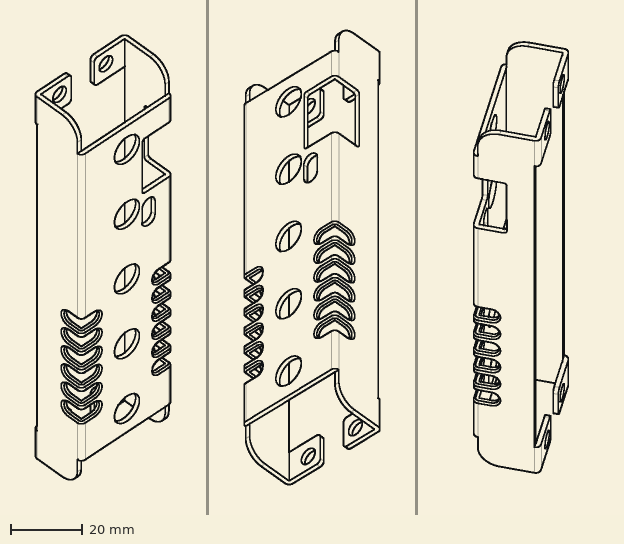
import cadquery as cq
import math

DEPTH = 19.4
WIDTH = 35.6
LENGTH = 139.7
SHEET = 1.5

TAB_HEIGHT = 10.8
TAB_GAP = 8.8
TAB_CORNER = 1.4
TAB_HOLE_DIA = 5.2
TAB_HOLE_SPACING = 18.0
TAB_HOLE_END_OFFSET = 4.9

WALL_CORNER = 6.3

BACK_HOLE_DIA = 9.6
BACK_HOLE_PITCH = 25.0
BACK_HOLE_COUNT = 5

WINDOW_Z_MIN = 98.6
WINDOW_HEIGHT = 21.0
WINDOW_WIDTH_IN_BACK = 11.9
WINDOW_WIDTH_IN_WALL = 9.9
WINDOW_CORNER = 1.0

KEY_SLOT_Y = 8.4
KEY_SLOT_Z = 90.4
KEY_SLOT_LENGTH = 10.2
KEY_SLOT_WIDTH = 5.0

VENT_COUNT = 6
VENT_PITCH = 7.0
VENT_CENTER_Z = 45.3
VENT_WIDTH = 4.5
VENT_REACH = 7.5
VENT_CHAMFER = 0.5

MID_Z = LENGTH / 2
WALL_EDGE_X = DEPTH - SHEET
TOLERANCE = 0.0001


def box(x_min, x_max, y_min, y_max, z_min, z_max):
    """Axis-aligned block between the given limits."""
    block = cq.Workplane("XY").box(x_max - x_min, y_max - y_min, z_max - z_min, centered=False)
    return block.translate((x_min, y_min, z_min))


def make_channel():
    """C-section channel: rounded outer bends, sharp inner bends, tabs still full length."""
    tube = box(0, DEPTH, -WIDTH / 2, WIDTH / 2, 0, LENGTH).edges("|Z").fillet(SHEET)
    inner_half_width = WIDTH / 2 - SHEET
    cavity = box(SHEET, WALL_EDGE_X, -inner_half_width, inner_half_width, 0, LENGTH)
    return tube.cut(cavity)


def trim_front(body):
    """Leave only the four tabs of the front side."""
    opening = box(0, SHEET, -WIDTH / 2, WIDTH / 2, TAB_HEIGHT, LENGTH - TAB_HEIGHT)
    gap = box(0, SHEET, -TAB_GAP / 2, TAB_GAP / 2, 0, LENGTH)
    body = body.cut(opening).cut(gap)
    tab_ends = cq.selectors.BoxSelector(
        (-SHEET, -TAB_GAP, -SHEET), (2 * SHEET, TAB_GAP, LENGTH + SHEET)
    )
    return body.edges("|X").edges(tab_ends).fillet(TAB_CORNER)


def trim_back(body):
    """Shorten the back at both ends and round the wall corners left standing there."""
    for z_min in (0, LENGTH - TAB_HEIGHT):
        body = body.cut(box(WALL_EDGE_X, DEPTH, -WIDTH / 2, WIDTH / 2, z_min, z_min + TAB_HEIGHT))
    wall_corners = cq.selectors.BoxSelector(
        (WALL_EDGE_X - SHEET, -WIDTH, -SHEET), (DEPTH, WIDTH, SHEET)
    ) + cq.selectors.BoxSelector(
        (WALL_EDGE_X - SHEET, -WIDTH, LENGTH - SHEET), (DEPTH, WIDTH, LENGTH + SHEET)
    )
    return body.edges("|Y").edges(wall_corners).fillet(WALL_CORNER)


def cut_holes(body):
    """Tab holes and the row of large holes in the back."""
    tab_tool = (
        cq.Workplane("YZ")
        .center(0, MID_Z)
        .rect(TAB_HOLE_SPACING, LENGTH - 2 * TAB_HOLE_END_OFFSET, forConstruction=True)
        .vertices()
        .circle(TAB_HOLE_DIA / 2)
        .extrude(SHEET)
    )
    back_tool = (
        cq.Workplane("YZ", origin=(WALL_EDGE_X, 0, MID_Z))
        .rarray(1.4, BACK_HOLE_PITCH, 1, BACK_HOLE_COUNT)
        .circle(BACK_HOLE_DIA / 2)
        .extrude(SHEET)
    )
    return body.cut(tab_tool).cut(back_tool)


def cut_key_slot(body):
    tool = (
        cq.Workplane("YZ", origin=(WALL_EDGE_X, KEY_SLOT_Y, KEY_SLOT_Z))
        .slot2D(KEY_SLOT_LENGTH, KEY_SLOT_WIDTH, 90)
        .extrude(SHEET)
    )
    return body.cut(tool)


def cut_window(body):
    """Rectangular opening folded around the +Y back corner."""
    z_max = WINDOW_Z_MIN + WINDOW_HEIGHT
    y_max = WIDTH / 2
    in_back = box(WALL_EDGE_X, DEPTH, y_max - WINDOW_WIDTH_IN_BACK, y_max, WINDOW_Z_MIN, z_max)
    in_wall = box(DEPTH - WINDOW_WIDTH_IN_WALL, DEPTH, y_max - SHEET, y_max, WINDOW_Z_MIN, z_max)
    in_back = in_back.edges("|X and <Y").fillet(WINDOW_CORNER)
    in_wall = in_wall.edges("|Y and <X").fillet(WINDOW_CORNER)
    return body.cut(in_back).cut(in_wall)


def vent_tool(z, side):
    """Slot folded around one back corner; side is -1 or +1 along Y."""
    corner_y = side * WIDTH / 2
    slot_length = 2 * VENT_REACH
    in_back = (
        cq.Workplane("YZ", origin=(WALL_EDGE_X, corner_y, z))
        .slot2D(slot_length, VENT_WIDTH)
        .extrude(SHEET)
    )
    in_wall = (
        cq.Workplane("XZ", origin=(DEPTH, corner_y, z))
        .slot2D(slot_length, VENT_WIDTH)
        .extrude(side * SHEET)
    )
    return in_back.union(in_wall)


def on_outer_skin(vertex):
    """True if the vertex lies on the outside of the back, a side wall or a back bend."""
    x, y, _ = vertex.toTuple()
    past_bend_x = max(x - (DEPTH - SHEET), 0)
    past_bend_y = max(abs(y) - (WIDTH / 2 - SHEET), 0)
    return abs(math.hypot(past_bend_x, past_bend_y) - SHEET) < TOLERANCE


def cut_vents(body):
    """Cut both rows of vent slots and chamfer their outer rims."""
    first_z = VENT_CENTER_Z - VENT_PITCH * (VENT_COUNT - 1) / 2
    for index in range(VENT_COUNT):
        for side in (-1, 1):
            body = body.cut(vent_tool(first_z + index * VENT_PITCH, side))
    z_margin = VENT_PITCH * VENT_COUNT / 2
    vent_zone = cq.selectors.BoxSelector(
        (DEPTH - VENT_REACH - SHEET, -WIDTH, VENT_CENTER_Z - z_margin),
        (DEPTH + SHEET, WIDTH, VENT_CENTER_Z + z_margin),
    )
    rims = body.edges(vent_zone).filter(lambda edge: all(map(on_outer_skin, edge.Vertices())))
    return rims.chamfer(VENT_CHAMFER)


result = make_channel()
result = trim_front(result)
result = trim_back(result)
result = cut_vents(result)
result = cut_holes(result)
result = cut_key_slot(result)
result = cut_window(result)